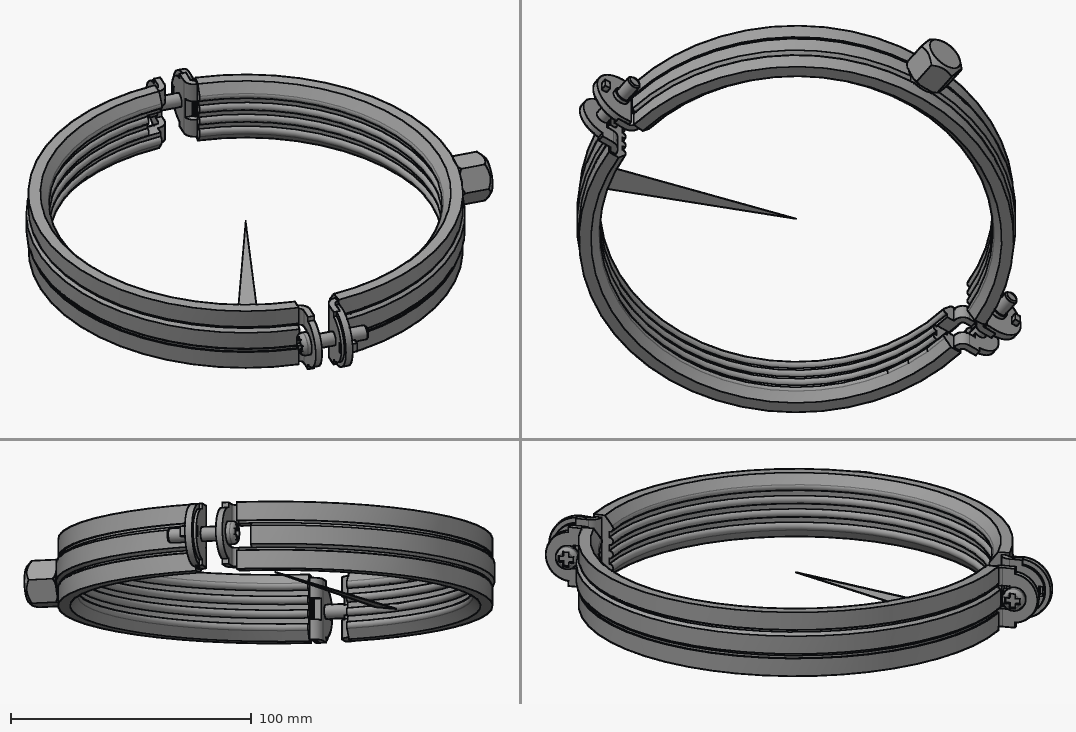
import cadquery as cq
import math

HALF_SQRT = math.sqrt(0.5)

ring_width = 28.1
lining_outer_r = 90.3
lining_inner_r = 81.6
lining_bevel_r = 85.3
lip_inner_z = 6.3
ridge_pitch = 5.8
ridge_r = 1.7
ridge_count = 4
strip_outer_r = 89.6
strip_thickness = 2.8
strip_width = 26.0
bead_r = 91.1
bead_top_z = 4.0
bead_foot_z = 5.2

upper_end_y = 9.3
lower_end_y = -8.2
bend_inner_r = 1.7
bend_outer_r = bend_inner_r + strip_thickness
bend_overlap = 0.6
ear_shoulder_x = 96.3
ear_tip_center_x = 95.3
ear_tip_r = 10.8
upper_slot_width = 9.0
lower_slot_width = 10.2
lower_slot_end_x = 94.2
upper_slot_end_x = 89.6
hollow_end_y = 16.9
bead_wall = 1.7
lower_notch_y = -14.3

clip_r = 13.0
clip_thickness = 1.5
clip_inner_x = 91.0
clip_shoulder_width = 25.5
clip_lip_drop = 1.5
tab_x = 104.8
tab_length = 2.5
tab_width = 4.1
tab_height = 2.5
tab_window_length = 1.7

screw_x = 96.3
screw_d = 6.0
screw_tip_y = 19.3
screw_chamfer = 0.6
collar_d = 7.4
collar_height = 1.7
head_d = 9.7
head_height = 4.0
head_rim_height = 1.7
head_top_d = 6.0
recess_span = 6.5
recess_arm = 2.5
recess_depth = 1.7

nut_across_flats = 18.0
nut_corner_r = nut_across_flats / math.sqrt(3)
nut_bottom_y = 92.2
nut_top_y = 106.0
nut_top_chamfer = 2.5
nut_bottom_chamfer = 0.9
nut_neck_d = 15.4

pointer_thickness = 0.2
pointer_r = 84.5
pointer_corners = ((-15.2, -2.4), (-22.3, -4.1))



def plate(x0, x1, width, y0, y1):
    """Box between two X and two Y positions, centred on Z = 0."""
    return cq.Workplane("XY").box(abs(x1 - x0), abs(y1 - y0), width).translate(
        ((x0 + x1) / 2, (y0 + y1) / 2, 0))


def rod(x, diameter, y0, y1):
    """Cylinder along Y between two Y positions."""
    return cq.Workplane("XZ", origin=(x, y0, 0)).circle(diameter / 2).extrude(y0 - y1)


def ring_profile():
    """Half-ring cross-section; local x is the radius, local y is the axial Z."""
    side_z = ring_width / 2
    floor_r = lining_inner_r + ridge_r
    first_ridge_z = (ridge_count - 1) / 2 * ridge_pitch
    bevel_end_r = floor_r - ridge_r * HALF_SQRT
    bevel_end_z = first_ridge_z + ridge_r * HALF_SQRT
    profile = (
        cq.Workplane("XZ")
        .moveTo(lining_bevel_r, -side_z)
        .lineTo(lining_outer_r, -side_z)
        .lineTo(lining_outer_r, -lip_inner_z)
        .lineTo(strip_outer_r, -lip_inner_z)
        .lineTo(strip_outer_r, -bead_foot_z)
        .lineTo(bead_r, -bead_top_z)
        .lineTo(bead_r, bead_top_z)
        .lineTo(strip_outer_r, bead_foot_z)
        .lineTo(strip_outer_r, lip_inner_z)
        .lineTo(lining_outer_r, lip_inner_z)
        .lineTo(lining_outer_r, side_z)
        .lineTo(lining_bevel_r, side_z)
        .lineTo(bevel_end_r, bevel_end_z)
    )
    for index in range(ridge_count):
        ridge_z = first_ridge_z - index * ridge_pitch
        crest = (lining_inner_r, ridge_z)
        ridge_end = (floor_r, ridge_z - ridge_r)
        if index > 0:
            profile = profile.lineTo(floor_r, ridge_z + ridge_r)
        if index == ridge_count - 1:
            ridge_end = (bevel_end_r, -bevel_end_z)
        profile = profile.threePointArc(crest, ridge_end)
    return profile.close()


def upper_half_ring():
    """The upper half ends on radial faces."""
    end_angle = math.degrees(math.asin(upper_end_y / strip_outer_r))
    half = ring_profile().revolve(180 - 2 * end_angle, (0, 0, 0), (0, 1, 0))
    center = half.val().Center()
    turn = 90 - math.degrees(math.atan2(center.y, center.x))
    return half.rotate((0, 0, 0), (0, 0, 1), turn)


def lower_half_ring():
    """The lower half ends on flat faces parallel to XZ."""
    lower_side = plate(-bead_r, bead_r, ring_width, lower_end_y, -bead_r)
    return ring_profile().revolve(360, (0, 0, 0), (0, 1, 0)).intersect(lower_side)


def ear(end_y, side, slot_width, slot_end_x):
    """Ear at the +X end of a half ring on the given Y side (+1 or -1)."""
    strip_x = math.sqrt(strip_outer_r ** 2 - end_y ** 2)
    bend_x = strip_x + bend_inner_r
    inner_x = strip_x - strip_thickness
    tip_x = ear_tip_center_x + ear_tip_r
    plate_near_y = end_y - side * bend_inner_r
    plate_far_y = end_y - side * bend_outer_r
    leg_y = end_y + side * bend_overlap
    sheet = (
        cq.Workplane("XY")
        .moveTo(strip_x, leg_y)
        .lineTo(strip_x, end_y)
        .threePointArc((bend_x - bend_inner_r * HALF_SQRT, end_y - side * bend_inner_r * HALF_SQRT),
                       (bend_x, plate_near_y))
        .lineTo(tip_x, plate_near_y)
        .lineTo(tip_x, plate_far_y)
        .lineTo(bend_x, plate_far_y)
        .threePointArc((bend_x - bend_outer_r * HALF_SQRT, end_y - side * bend_outer_r * HALF_SQRT),
                       (inner_x, end_y))
        .lineTo(inner_x, leg_y)
        .close()
        .extrude(strip_width / 2, both=True)
    )
    outline = plate(inner_x, ear_shoulder_x, strip_width, leg_y, plate_far_y).union(
        rod(ear_tip_center_x, 2 * ear_tip_r, leg_y, plate_far_y))
    slot = plate(inner_x, slot_end_x, slot_width, leg_y, plate_far_y)
    return sheet.intersect(outline).cut(slot)


def clip():
    """Cap on the upper ear with a lip round the ear tip and a small tab."""
    under_y = upper_end_y - bend_inner_r
    lip_y = under_y - clip_lip_drop
    top_y = under_y + clip_thickness
    disc = rod(ear_tip_center_x, 2 * clip_r, under_y, top_y)
    cap = disc.intersect(plate(clip_inner_x, ear_tip_center_x + clip_r, 2 * clip_r, under_y, top_y))
    cap = cap.union(plate(clip_inner_x, ear_shoulder_x, clip_shoulder_width, under_y, top_y))
    lip = rod(ear_tip_center_x, 2 * clip_r, lip_y, under_y).cut(
        rod(ear_tip_center_x, 2 * ear_tip_r, lip_y, under_y))
    lip = lip.intersect(plate(ear_shoulder_x, ear_tip_center_x + clip_r, 2 * clip_r, lip_y, under_y))
    tab = plate(tab_x - tab_length / 2, tab_x + tab_length / 2, tab_width, top_y, top_y + tab_height)
    return cap.union(lip).union(tab)


def tab_window():
    """Window in the upper ear below the clip tab."""
    start_x = tab_x - tab_length / 2
    return plate(start_x, start_x + tab_window_length, tab_width,
                 upper_end_y - bend_outer_r, upper_end_y - bend_inner_r)


def screw():
    """Screw through both ears, with a domed cross-recess head below the lower ear."""
    seat_y = lower_end_y + bend_inner_r
    head_y = seat_y - head_height
    rim_y = seat_y - head_rim_height
    collar_y = upper_end_y - bend_inner_r + clip_thickness
    shank = rod(screw_x, screw_d, seat_y, screw_tip_y).faces(">Y").chamfer(screw_chamfer)
    collar = rod(screw_x, collar_d, collar_y, collar_y + collar_height)
    rim_r = head_d / 2
    top_r = head_top_d / 2
    head = (
        cq.Workplane("XY", origin=(screw_x, 0, 0))
        .moveTo(0, seat_y)
        .lineTo(rim_r, seat_y)
        .lineTo(rim_r, rim_y)
        .tangentArcPoint((top_r, head_y), relative=False)
        .lineTo(0, head_y)
        .close()
        .revolve(360, (0, 0, 0), (0, 1, 0))
    )
    half_span = recess_span / 2
    half_arm = recess_arm / 2
    recess_y = head_y + recess_depth
    across = plate(screw_x - half_span, screw_x + half_span, recess_arm, head_y, recess_y)
    upright = plate(screw_x - half_arm, screw_x + half_arm, recess_span, head_y, recess_y)
    return shank.union(collar).union(head).cut(across).cut(upright)


def nut():
    """Hexagon nut with its axis on Y, corners chamfered, on a round neck."""
    hexagon = (
        cq.Workplane("XZ", origin=(0, nut_bottom_y, 0))
        .polygon(6, 2 * nut_corner_r)
        .extrude(nut_bottom_y - nut_top_y)
    )
    envelope = rod(0, 2 * nut_corner_r, nut_bottom_y, nut_top_y)
    envelope = envelope.faces(">Y").chamfer(nut_top_chamfer)
    envelope = envelope.faces("<Y").chamfer(nut_bottom_chamfer)
    neck = rod(0, nut_neck_d, strip_outer_r - strip_thickness, nut_bottom_y)
    return hexagon.intersect(envelope).union(neck)


def pointer():
    """Thin, slightly tilted triangle from the ring centre to the lining."""
    corners = [cq.Vector(0, 0, 0)]
    for angle, height in pointer_corners:
        radians = math.radians(angle)
        corners.append(cq.Vector(pointer_r * math.cos(radians), pointer_r * math.sin(radians), height))
    outline = cq.Wire.makePolygon(corners, close=True)
    blade = cq.Solid.extrudeLinear(outline, [], cq.Vector(0, 0, pointer_thickness))
    return cq.Workplane("XY").newObject([blade])


def bead_hollows():
    """Hollows behind the bead, open at both ends of the upper half."""
    half_width = upper_slot_width / 2
    band = (
        cq.Workplane("XY", origin=(0, 0, -half_width))
        .circle(bead_r - bead_wall)
        .circle(strip_outer_r - strip_thickness)
        .extrude(upper_slot_width)
    )
    return band.intersect(plate(-bead_r, bead_r, upper_slot_width, 0, hollow_end_y))


def lower_notch():
    """Notch through the strip and the lining at the -X end of the lower half."""
    return plate(-bead_r, 0, lower_slot_width, 0, lower_notch_y)


joint = ear(upper_end_y, 1, upper_slot_width, upper_slot_end_x).cut(tab_window())
joint = joint.union(ear(lower_end_y, -1, lower_slot_width, lower_slot_end_x))
joint = joint.union(clip()).union(screw())

upper_half = upper_half_ring().cut(bead_hollows())
lower_half = lower_half_ring().cut(lower_notch())

result = upper_half.union(lower_half)
result = result.union(joint).union(joint.mirror("YZ"))
result = result.union(nut()).union(pointer())